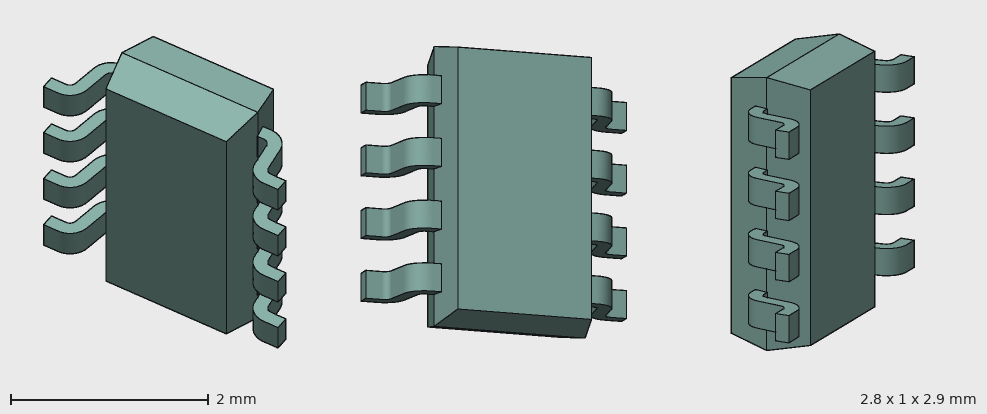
import cadquery as cq
import math


housing_length = 2.9
housing_width = 1.625
housing_depth = 0.9
draft_inset = 0.093

lead_span = 2.8
leads_per_side = 4
lead_pitch = 0.65
lead_width = 0.29
lead_thickness = 0.15
foot_straight = 0.175
standoff = 0.102
lead_height = 0.693
leg_lean = math.radians(8)

half_depth = housing_depth / 2
foot_y = -half_depth - standoff
shoulder_y = foot_y + lead_height
bend_inner = lead_thickness / 2
bend_outer = bend_inner + lead_thickness
bend_middle = (bend_inner + bend_outer) / 2
tip_x = -lead_span / 2
inner_end_x = -housing_width / 2 + draft_inset

foot_bend = (tip_x + foot_straight, foot_y + bend_outer)
bend_rise = lead_height - 2 * bend_outer
bend_run = 2 * bend_middle / math.cos(leg_lean) + bend_rise * math.tan(leg_lean)
shoulder_bend = (foot_bend[0] + bend_run, shoulder_y - bend_outer)

foot_arc_start = -math.pi / 2
foot_arc_end = -leg_lean
shoulder_arc_start = math.pi - leg_lean
shoulder_arc_end = math.pi / 2


def on_bend(centre, radius, angle):
    """Point at an angle on a bend arc."""
    return (centre[0] + radius * math.cos(angle), centre[1] + radius * math.sin(angle))


def foot_point(radius, angle):
    return on_bend(foot_bend, radius, angle)


def shoulder_point(radius, angle):
    return on_bend(shoulder_bend, radius, angle)


def make_housing():
    """Block whose four sides taper from the parting plane to both end faces."""
    def half(direction):
        """Half on the -Y side for direction 1, on the +Y side for -1."""
        return (
            cq.Workplane("XZ")
            .rect(housing_width, housing_length)
            .workplane(offset=direction * half_depth)
            .rect(housing_width - 2 * draft_inset, housing_length - 2 * draft_inset)
            .loft(ruled=True)
        )

    return half(1).union(half(-1)).solids()


def make_left_lead(z_centre, housing):
    """Gull-wing lead on the -X side, ending flush against the housing wall."""
    foot_arc_middle = (foot_arc_start + foot_arc_end) / 2
    shoulder_arc_middle = (shoulder_arc_start + shoulder_arc_end) / 2
    lead = (
        cq.Workplane("XY", origin=(0, 0, z_centre - lead_width / 2))
        .moveTo(tip_x, foot_y)
        .lineTo(*foot_point(bend_outer, foot_arc_start))
        .threePointArc(
            foot_point(bend_outer, foot_arc_middle),
            foot_point(bend_outer, foot_arc_end),
        )
        .lineTo(*shoulder_point(bend_inner, shoulder_arc_start))
        .threePointArc(
            shoulder_point(bend_inner, shoulder_arc_middle),
            shoulder_point(bend_inner, shoulder_arc_end),
        )
        .lineTo(inner_end_x, shoulder_y - lead_thickness)
        .lineTo(inner_end_x, shoulder_y)
        .lineTo(*shoulder_point(bend_outer, shoulder_arc_end))
        .threePointArc(
            shoulder_point(bend_outer, shoulder_arc_middle),
            shoulder_point(bend_outer, shoulder_arc_start),
        )
        .lineTo(*foot_point(bend_inner, foot_arc_end))
        .threePointArc(
            foot_point(bend_inner, foot_arc_middle),
            foot_point(bend_inner, foot_arc_start),
        )
        .lineTo(tip_x, foot_y + lead_thickness)
        .close()
        .extrude(lead_width)
    )
    return lead.cut(housing).solids()


housing = make_housing()

leads = []
for index in range(leads_per_side):
    z_centre = (index - (leads_per_side - 1) / 2) * lead_pitch
    left_lead = make_left_lead(z_centre, housing)
    right_lead = left_lead.mirror("YZ")
    leads.append(left_lead.val())
    leads.append(right_lead.val())

result = cq.Compound.makeCompound([housing.val(), *leads])